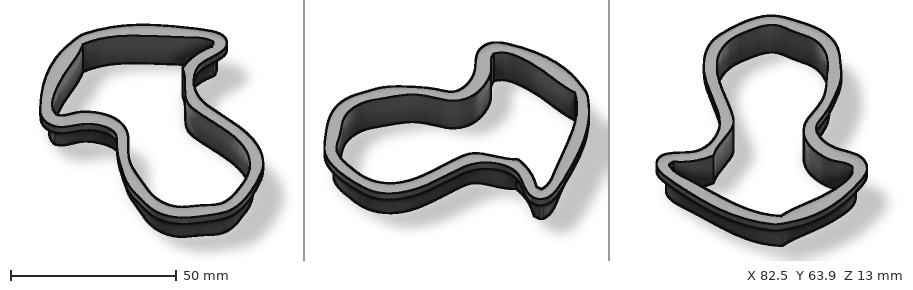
import cadquery as cq
import math

height = 13.0
rim_thickness = 3.0
wall_thickness = 1.0

rim_curve = [
    (-41.3, -4.6), (-39.55, 4.1), (-35.8, 12.8), (-31.2, 20.1), (-25.85, 27.25), (-19.15, 31.9),
    (-16.7, 30.9), (-15.2, 28.2), (-13.7, 20.0), (-8.9, 15.3), (-1.5, 13.8), (5.45, 15.8),
    (15.2, 19.2), (23.9, 20.0), (30.05, 18.0), (34.35, 14.0), (39.05, 7.35), (41.2, 1.0),
    (39.55, -7.1), (36.3, -14.5),
    (31.4, -19.2), (23.9, -21.3), (18.4, -21.8), (10.15, -20.2), (2.2, -17.25), (-2.0, -15.5),
    (-7.2, -18.0), (-10.15, -22.55), (-13.2, -30.0), (-16.9, -31.9), (-23.4, -29.7),
    (-32.6, -22.55), (-37.8, -15.5), (-40.55, -8.8),
]

nose = (-37.8, -7.1)
upper_tip = (-19.65, 28.0)
upper_tip_end = (-18.4, 26.75)
neck_corner = (-15.2, 14.8)
lower_tip = (-17.2, -27.5)

opening_runs = [
    [nose, (-36.3, 1.65), (-30.05, 13.8), (-25.35, 21.5), (-21.1, 27.2), upper_tip],
    [upper_tip, upper_tip_end],
    [upper_tip_end, (-17.7, 20.2), neck_corner],
    [
        neck_corner, (-8.9, 12.3), (-2.0, 9.6), (2.7, 10.6), (11.0, 13.8), (17.7, 15.8),
        (24.6, 15.8), (30.8, 12.55), (35.0, 6.85), (37.15, 2.3), (37.5, -0.7), (35.3, -6.1),
        (32.45, -12.6), (25.85, -17.0), (18.4, -17.5), (10.15, -17.0), (4.0, -14.3),
        (-0.75, -12.05), (-6.4, -12.3), (-13.0, -17.5), (-14.95, -21.3),
        (-16.35, -26.5), lower_tip,
    ],
    [lower_tip, (-19.65, -27.4), (-25.1, -23.8), (-30.3, -17.5), (-35.8, -9.3), nose],
]
offset_spacing = 1.65


def curve_through(points):
    """Smooth edge through the points; two points give a straight edge."""
    vectors = [cq.Vector(point) for point in points]
    if len(vectors) == 2:
        return cq.Edge.makeLine(*vectors)
    return cq.Edge.makeSpline(vectors)


def outward_normal(edge, position):
    """Unit normal to the left of a clockwise edge, which points away from the opening."""
    tangent = edge.tangentAt(position)
    return cq.Vector(-tangent.y, tangent.x)


def offset_points(edge):
    """Points along the edge, moved outward by the wall thickness."""
    spans = math.ceil(edge.Length() / offset_spacing)
    positions = [i / spans for i in range(spans + 1)]
    return [edge.positionAt(t) + outward_normal(edge, t) * wall_thickness for t in positions]


def offset_outline(edges):
    """Outline one wall thickness outside the edges, rounded at outer corners and mitred at inner ones."""
    runs = [offset_points(edge) for edge in edges]
    arcs = []
    for i, edge in enumerate(edges):
        before, after = runs[i - 1], runs[i]
        normal_before = outward_normal(edges[i - 1], 1)
        normal_after = outward_normal(edge, 0)
        bisector = normal_before + normal_after
        corner = edge.startPoint()
        if normal_before.cross(normal_after).z < 0:
            middle = corner + bisector.normalized() * wall_thickness
            arcs.append(cq.Edge.makeThreePointArc(before[-1], middle, after[0]))
        else:
            mitre = corner + bisector * (wall_thickness / (1 + normal_before.dot(normal_after)))
            before[-1] = mitre
            after[0] = mitre
    return cq.Wire.assembleEdges([curve_through(run) for run in runs] + arcs)


def extrude_up(outline, length):
    """Solid raised from a closed outline at the wall's lower edge."""
    return cq.Workplane("XY").add(outline).toPending().extrude(length)


wall_height = height - rim_thickness
opening_edges = [curve_through(run) for run in opening_runs]

rim_plane = cq.Workplane("XY", origin=(0, 0, wall_height))
rim = rim_plane.spline(rim_curve, periodic=True).close().extrude(rim_thickness)
wall = extrude_up(offset_outline(opening_edges), wall_height)
opening = extrude_up(cq.Wire.assembleEdges(opening_edges), height)

result = rim.union(wall).cut(opening)